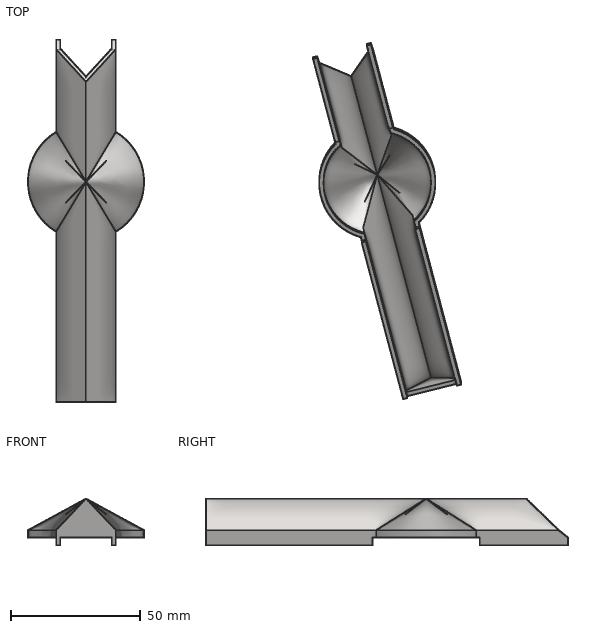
import cadquery as cq

length = 140.0
arm_width = 23.1
hub_diameter = 45.0
hub_y = 15.1
roof_rise = 12.2
rim_height = 3.0
leg_depth = 3.0
wall = 1.7
roof_drop = 2.0
leg_gap = 41.3
mitre_ridge = 16.2
mitre_eave = 3.6

rim_z = leg_depth
eave_z = rim_z + rim_height
ridge_z = eave_z + roof_rise
front_y = -length / 2
back_y = length / 2
arm_half = arm_width / 2
hub_radius = hub_diameter / 2
inner_ridge_z = ridge_z - roof_drop


def gable(half_width, base_z, peak_z, slope, start_y, end_y):
    """Ridged prism along Y whose roof falls by slope per unit of X."""
    side_z = peak_z - slope * half_width
    outline = [
        (-half_width, base_z),
        (half_width, base_z),
        (half_width, side_z),
        (0, peak_z),
        (-half_width, side_z),
    ]
    return (
        cq.Workplane("XZ", origin=(0, start_y, 0))
        .polyline(outline)
        .close()
        .extrude(start_y - end_y)
    )


def cone_hub(radius, peak_z, slope):
    """Cone on a short cylindrical rim, standing at rim level."""
    outline = [(0, rim_z), (radius, rim_z), (radius, peak_z - slope * radius), (0, peak_z)]
    return (
        cq.Workplane("XZ")
        .polyline(outline)
        .close()
        .revolve(360, (0, 0), (0, 1))
        .translate((0, hub_y, 0))
    )


def leg_clearance():
    """Block that removes the legs below the hub."""
    return (
        cq.Workplane("XY")
        .box(arm_width, leg_gap, leg_depth, centered=(True, True, False))
        .translate((0, hub_y, 0))
    )


def mitre_cut():
    """Sloping cut across the open back end."""
    outline = [
        (back_y - mitre_ridge, ridge_z),
        (back_y - mitre_eave, eave_z),
        (back_y, rim_z),
        (back_y, ridge_z),
    ]
    return cq.Workplane("YZ").polyline(outline).close().extrude(arm_half, both=True)


arm_slope = roof_rise / arm_half
hub_slope = roof_rise / hub_radius
inner_half = arm_half - wall

outer = gable(arm_half, 0, ridge_z, arm_slope, front_y, back_y)
outer = outer.union(cone_hub(hub_radius, ridge_z, hub_slope))
hollow = gable(inner_half, 0, inner_ridge_z, arm_slope, front_y + wall, back_y)
hollow = hollow.union(cone_hub(hub_radius - wall, inner_ridge_z, hub_slope))

leg_passage = cq.Workplane("XY").rect(2 * inner_half, length).extrude(leg_depth)

result = outer.cut(hollow).cut(leg_passage).cut(leg_clearance()).cut(mitre_cut())